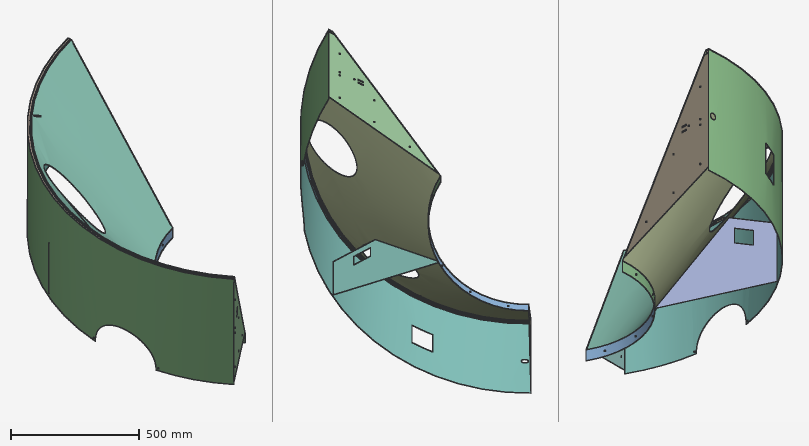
import cadquery as cq
import math

WIDTH = 1533.0
HEIGHT = 797.0
HALF_ANGLE = 60.0
SHEET = 2.0
BOLT_DIAMETER = 6.0

SHELL_RADIUS = WIDTH / 2 / math.sin(math.radians(HALF_ANGLE))
SHELL_INNER = SHELL_RADIUS - SHEET
SHELL_BOTTOM = 238.0
WINDOW_ANGLE = -31.4
WINDOW_WIDTH = 90.0
WINDOW_HEIGHT = 140.0
WINDOW_Z = 494.0
PORT_ANGLE = -58.4
PORT_DIAMETER = 28.0
ARCH_ANGLE = 30.0
ARCH_RADIUS = 144.0
ARCH_CENTER_Z = 244.0
ARCH_BOLT_STEP = 10.0
ARCH_BOLT_Z = 250.0

RIM_INNER = 874.0
RIM_HEIGHT = 12.0
RIM_BOTTOM = HEIGHT - RIM_HEIGHT

FINGER_ANGLE = -30.0
FINGER_INNER = 834.0
FINGER_THICKNESS = 5.0

RING_INNER = 385.0
RING_HEIGHT = 50.0
RING_BOLT_STEP = 24.0
RING_BOLT_STEPS_PER_SIDE = 2

CHUTE_TOP_INNER = 868.0
CHUTE_RISE = HEIGHT - RING_HEIGHT
CHUTE_RUN = CHUTE_TOP_INNER - RING_INNER
CHUTE_WALL = SHEET * math.hypot(CHUTE_RISE, CHUTE_RUN) / CHUTE_RISE
RING_OUTER = RING_INNER + CHUTE_WALL
ROUND_HOLE_ANGLE = 30.0
ROUND_HOLE_CENTER = 762.0
ROUND_HOLE_DIAMETER = 195.0
OVAL_HOLE_ANGLE = -11.1
OVAL_HOLE_CENTER = 720.0
OVAL_HOLE_LENGTH = 242.0
OVAL_HOLE_WIDTH = 196.0

GUSSET_FOOT = 63.0
GUSSET_HEEL = 253.0
END_GUSSET_TOP = 779.0
MIDDLE_GUSSET_TOP = 521.0

OUTER_BOLT_RADIUS = 835.0
MIDDLE_BOLT_RADIUS = 680.0
LATCH_Z = 495.0
LATCH_BOLT_RADIUS = 770.0
LATCH_SLOT_RADIUS = 742.0
LATCH_SLOT_SPACING = 23.0
LATCH_SLOT_LENGTH = 25.0
LATCH_SLOT_HEIGHT = 5.0
GUSSET_BOLTS = [
    (OUTER_BOLT_RADIUS, 644.0),
    (OUTER_BOLT_RADIUS, LATCH_Z),
    (OUTER_BOLT_RADIUS, 469.0),
    (OUTER_BOLT_RADIUS, 288.0),
    (MIDDLE_BOLT_RADIUS, 405.0),
    (MIDDLE_BOLT_RADIUS, 228.0),
    (523.0, 167.0),
    (LATCH_BOLT_RADIUS, LATCH_Z),
]

OPENING_INNER = 713.0
OPENING_OUTER = 790.0
OPENING_BOTTOM = 408.0
OPENING_TOP = 475.0


def chute_inner(z):
    """Radius of the chute's inner face at height z."""
    return RING_INNER + CHUTE_RUN * (z - RING_HEIGHT) / CHUTE_RISE


def chute_outer(z):
    """Radius of the chute's outer face at height z."""
    return chute_inner(z) + CHUTE_WALL


def turned(body, angle):
    """Turn a body about the Z axis."""
    return body.rotate((0, 0, 0), (0, 0, 1), angle)


def sector(profile):
    """Revolve an (r, z) profile through the hopper's sector, centred on -Y."""
    body = cq.Workplane("XZ").polyline(profile).close().revolve(2 * HALF_ANGLE, (0, 0, 0), (0, 1, 0))
    center = body.val().Center()
    return turned(body, -90 - math.degrees(math.atan2(center.y, center.x)))


def ring_band(inner, outer, bottom, top):
    """Sector of a straight-walled ring."""
    return sector([(inner, bottom), (outer, bottom), (outer, top), (inner, top)])


def radial_drill(diameter, z, angle):
    """Round cutter lying on a horizontal radius."""
    return turned(cq.Workplane("XZ").center(0, z).circle(diameter / 2).extrude(WIDTH), angle)


def radial_punch(width, bottom, top, angle):
    """Rectangular cutter lying on a horizontal radius."""
    middle = (bottom + top) / 2
    return turned(cq.Workplane("XZ").center(0, middle).rect(width, top - bottom).extrude(WIDTH), angle)


def radial_plate(outline, thickness):
    """Plate from an (r, z) outline, standing on the XZ plane with r along +X."""
    return cq.Workplane("XZ").polyline(outline).close().extrude(thickness / 2, both=True)


def make_shell():
    shell = ring_band(SHELL_INNER, SHELL_RADIUS, SHELL_BOTTOM, HEIGHT)
    window_bottom = WINDOW_Z - WINDOW_HEIGHT / 2
    shell = shell.cut(radial_punch(WINDOW_WIDTH, window_bottom, window_bottom + WINDOW_HEIGHT, WINDOW_ANGLE))
    shell = shell.cut(radial_drill(PORT_DIAMETER, LATCH_Z, PORT_ANGLE))
    shell = shell.cut(radial_drill(2 * ARCH_RADIUS, ARCH_CENTER_Z, ARCH_ANGLE))
    shell = shell.cut(radial_punch(2 * ARCH_RADIUS, 0, ARCH_CENTER_Z, ARCH_ANGLE))
    for side in (-1, 1):
        bolt_angle = ARCH_ANGLE + side * ARCH_BOLT_STEP
        shell = shell.cut(radial_drill(BOLT_DIAMETER, ARCH_BOLT_Z, bolt_angle))
    return shell


def make_finger():
    """Square finger against the underside of the rim's lip, reaching inward through the chute."""
    finger_bottom = RIM_BOTTOM - FINGER_THICKNESS
    finger_outer = RIM_INNER + SHEET
    outline = [
        (FINGER_INNER, finger_bottom),
        (finger_outer, finger_bottom),
        (finger_outer, RIM_BOTTOM),
        (FINGER_INNER, RIM_BOTTOM),
    ]
    return turned(radial_plate(outline, FINGER_THICKNESS), FINGER_ANGLE - 90)


def make_rim():
    rim = sector([
        (RIM_INNER, RIM_BOTTOM),
        (RIM_INNER + SHEET, RIM_BOTTOM),
        (RIM_INNER + SHEET, HEIGHT - SHEET),
        (SHELL_INNER, HEIGHT - SHEET),
        (SHELL_INNER, HEIGHT),
        (RIM_INNER, HEIGHT),
    ])
    return rim.union(make_finger())


def make_outlet_ring():
    ring = ring_band(RING_INNER, RING_OUTER, 0, RING_HEIGHT)
    for step in range(-RING_BOLT_STEPS_PER_SIDE, RING_BOLT_STEPS_PER_SIDE + 1):
        ring = ring.cut(radial_drill(BOLT_DIAMETER, RING_HEIGHT / 2, step * RING_BOLT_STEP))
    return ring


def make_chute():
    chute = sector([
        (chute_inner(RING_HEIGHT), RING_HEIGHT),
        (chute_outer(RING_HEIGHT), RING_HEIGHT),
        (chute_outer(HEIGHT), HEIGHT),
        (chute_inner(HEIGHT), HEIGHT),
    ])
    round_hole = (
        cq.Workplane("XY").center(0, -ROUND_HOLE_CENTER)
        .circle(ROUND_HOLE_DIAMETER / 2).extrude(HEIGHT)
    )
    oval_hole = (
        cq.Workplane("XY").center(0, -OVAL_HOLE_CENTER)
        .ellipse(OVAL_HOLE_WIDTH / 2, OVAL_HOLE_LENGTH / 2).extrude(HEIGHT)
    )
    chute = chute.cut(turned(round_hole, ROUND_HOLE_ANGLE))
    chute = chute.cut(turned(oval_hole, OVAL_HOLE_ANGLE))
    return chute.cut(make_finger())


def gusset_plate(top):
    """Blank gusset filling the space between chute and shell up to the given height."""
    outline = [
        (chute_outer(GUSSET_FOOT), GUSSET_FOOT),
        (SHELL_INNER, GUSSET_HEEL),
        (SHELL_INNER, top),
        (chute_outer(top), top),
    ]
    return radial_plate(outline, SHEET)


def make_end_gusset(side):
    """Gusset closing one end of the sector; side is -1 for -X and 1 for +X."""
    bolts = cq.Workplane("XZ").pushPoints(GUSSET_BOLTS).circle(BOLT_DIAMETER / 2).extrude(SHEET, both=True)
    slot_centers = [(LATCH_SLOT_RADIUS, LATCH_Z + end * LATCH_SLOT_SPACING / 2) for end in (-1, 1)]
    slots = (
        cq.Workplane("XZ").pushPoints(slot_centers)
        .rect(LATCH_SLOT_LENGTH, LATCH_SLOT_HEIGHT).extrude(SHEET, both=True)
    )
    plate = gusset_plate(END_GUSSET_TOP).cut(bolts).cut(slots)
    plate = plate.translate((0, -side * SHEET / 2, 0))
    return turned(plate, side * HALF_ANGLE - 90)


def make_middle_gusset():
    opening_outline = [
        (OPENING_INNER, OPENING_BOTTOM),
        (OPENING_OUTER, OPENING_BOTTOM),
        (OPENING_OUTER, OPENING_TOP),
        (OPENING_INNER, OPENING_TOP),
    ]
    plate = gusset_plate(MIDDLE_GUSSET_TOP).cut(radial_plate(opening_outline, 2 * SHEET))
    return turned(plate, -90)


shell = make_shell()
rim = make_rim()
outlet_ring = make_outlet_ring()
chute = make_chute()
middle_gusset = make_middle_gusset().cut(shell)
end_gussets = [make_end_gusset(side).cut(shell) for side in (-1, 1)]

result = cq.Compound.makeCompound([
    shell.val(),
    rim.val(),
    outlet_ring.val(),
    chute.val(),
    middle_gusset.val(),
    *[gusset.val() for gusset in end_gussets],
])